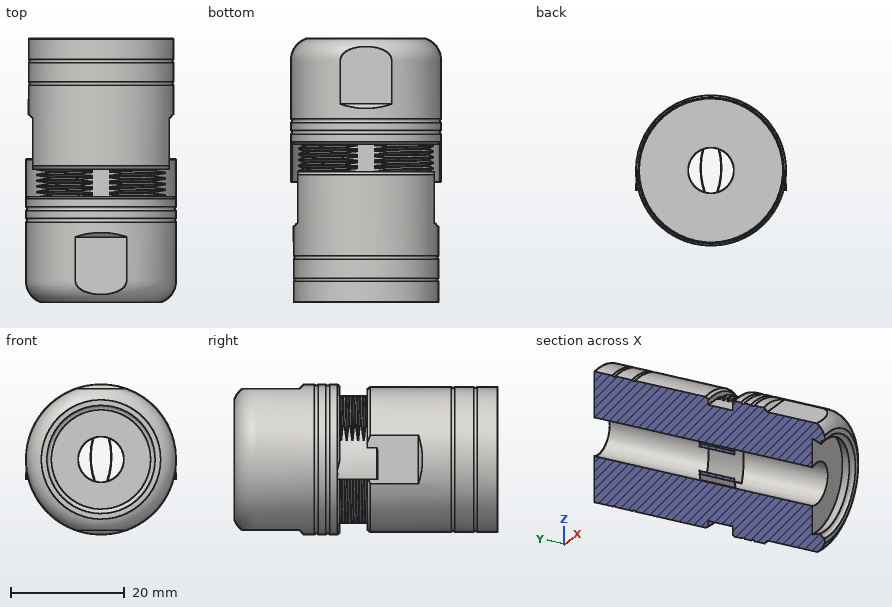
import cadquery as cq
import math

total_length = 46.5

cap_radius = 13.25
cap_length = 18.6
cap_edge_chamfer = 0.35
cap_groove_centers = (14.5, 16.5)
cap_groove_width = 0.7
cap_groove_depth = 0.2
nose_length = 3.8
rim_outer_radius = 10.5
rim_inner_radius = 9.55
mouth_radius = 8.75
recess_radius = 9.35
recess_depth = 2.5
bore_radius = 4.0

sleeve_radius = 12.8
sleeve_start = 23.45
sleeve_chamfer_length = 0.6
sleeve_chamfer_height = 0.4
sleeve_end_chamfer = 0.15
sleeve_groove_centers = (38.55, 42.5)
sleeve_groove_width = 0.6
sleeve_groove_depth = 0.2

cap_flat_height = 12.45
cap_flat_end = 11.55
sleeve_flat_height = 12.05
sleeve_flat_end = 32.45

thread_root_radius = 11.0
thread_crest_radius = 11.85
thread_pitch = 1.0
thread_base_width = 0.9
thread_crest_width = 0.15
thread_overlap = 0.7
land_width = 3.05
land_height = 11.25

tongue_start = cap_length - cap_edge_chamfer
tongue_end = 25.3
tongue_tip_z = -3.5
tongue_root_z = 6.5
tongue_bend_radius = 13.5
tongue_thickness = 0.3
tongue_end_chamfer = 0.2

leaf_points = ((1.0, -4.1), (1.8, 0.0), (1.3, 4.1))
leaf_thickness = 0.15


def revolve_about_y(profile):
    return profile.close().revolve(360, (0, 0, 0), (0, 1, 0))


def round_groove(surface_radius, center_y, width, depth):
    """Ring with a circular-arc bottom, for cutting into a cylinder."""
    return revolve_about_y(
        cq.Workplane("XY")
        .moveTo(surface_radius, center_y - width / 2)
        .threePointArc((surface_radius - depth, center_y), (surface_radius, center_y + width / 2))
        .lineTo(surface_radius + depth, center_y + width / 2)
        .lineTo(surface_radius + depth, center_y - width / 2)
    )


def make_cap():
    nose_inset = cap_radius - rim_outer_radius
    nose_radius = (nose_inset**2 + nose_length**2) / (2 * nose_inset)
    mouth_rounding = rim_inner_radius - mouth_radius
    cap = revolve_about_y(
        cq.Workplane("XY")
        .moveTo(0, recess_depth)
        .lineTo(recess_radius, recess_depth)
        .lineTo(mouth_radius, mouth_rounding)
        .radiusArc((rim_inner_radius, 0), mouth_rounding)
        .lineTo(rim_outer_radius, 0)
        .radiusArc((cap_radius, nose_length), -nose_radius)
        .lineTo(cap_radius, cap_length - cap_edge_chamfer)
        .lineTo(cap_radius - cap_edge_chamfer, cap_length)
        .lineTo(0, cap_length)
    )
    for center_y in cap_groove_centers:
        cap = cap.cut(round_groove(cap_radius, center_y, cap_groove_width, cap_groove_depth))
    return cap


def make_sleeve():
    sleeve = revolve_about_y(
        cq.Workplane("XY")
        .moveTo(0, sleeve_start)
        .lineTo(sleeve_radius - sleeve_chamfer_height, sleeve_start)
        .lineTo(sleeve_radius, sleeve_start + sleeve_chamfer_length)
        .lineTo(sleeve_radius, total_length - sleeve_end_chamfer)
        .lineTo(sleeve_radius - sleeve_end_chamfer, total_length)
        .lineTo(0, total_length)
    )
    for center_y in sleeve_groove_centers:
        sleeve = sleeve.cut(round_groove(sleeve_radius, center_y, sleeve_groove_width, sleeve_groove_depth))
    return sleeve


def flat_cutter(plane, start, end, flat_height, body_radius):
    """Block above a flat, its far end sloping outward at 45 degrees."""
    run_out = body_radius - flat_height
    return (
        cq.Workplane(plane)
        .polyline([
            (flat_height, start),
            (flat_height, end),
            (flat_height + 2 * run_out, end + 2 * run_out),
            (flat_height + 2 * run_out, start),
        ])
        .close()
        .extrude(body_radius, both=True)
    )


def make_neck():
    start = cap_length - thread_overlap
    length = sleeve_start - cap_length + 2 * thread_overlap
    core = cq.Workplane("XY").circle(thread_root_radius).extrude(length)
    helix = cq.Wire.makeHelix(thread_pitch, length, thread_root_radius)
    embed = 0.05
    ridge = (
        cq.Workplane("XZ")
        .polyline([
            (thread_root_radius - embed, -thread_base_width / 2),
            (thread_crest_radius, -thread_crest_width / 2),
            (thread_crest_radius, thread_crest_width / 2),
            (thread_root_radius - embed, thread_base_width / 2),
        ])
        .close()
        .sweep(cq.Workplane(helix), isFrenet=True)
    )
    thread = core.union(ridge).rotate((0, 0, 0), (1, 0, 0), -90).translate((0, start, 0))
    center_y = start + length / 2
    trim = cq.Workplane("XY").box(4 * cap_radius, 2 * length, 2 * land_height).translate((0, center_y, 0))
    land = cq.Workplane("XY").box(land_width, length, 2 * land_height).translate((0, center_y, 0))
    return thread.intersect(trim).union(land)


def tongue_point(offset, z):
    """Point on the tongue's bend at height z, offset inward from the outer face."""
    center_x = cap_radius - tongue_bend_radius
    radius = tongue_bend_radius - offset
    return (center_x + math.sqrt(radius**2 - (z - tongue_tip_z) ** 2), z)


def make_tongue():
    middle_z = (tongue_tip_z + tongue_root_z) / 2
    return (
        cq.Workplane("XZ", origin=(0, tongue_start, 0))
        .moveTo(*tongue_point(0, tongue_tip_z))
        .threePointArc(tongue_point(0, middle_z), tongue_point(0, tongue_root_z))
        .lineTo(*tongue_point(tongue_thickness, tongue_root_z))
        .threePointArc(
            tongue_point(tongue_thickness, middle_z),
            tongue_point(tongue_thickness, tongue_tip_z),
        )
        .close()
        .extrude(-(tongue_end - tongue_start))
        .faces(">Y").edges("%CIRCLE").edges(">X").chamfer(tongue_end_chamfer)
    )


def make_leaf():
    inner = [(x - leaf_thickness / 2, z) for x, z in leaf_points]
    outer = [(x + leaf_thickness / 2, z) for x, z in leaf_points]
    return (
        cq.Workplane("XZ", origin=(0, tongue_start, 0))
        .moveTo(*outer[0])
        .threePointArc(outer[1], outer[2])
        .lineTo(*inner[2])
        .threePointArc(inner[1], inner[0])
        .close()
        .extrude(-(tongue_end - tongue_start))
    )


def mirrored_pair(feature, mirror_plane):
    return feature.union(feature.mirror(mirror_plane))


cap_flat = flat_cutter("ZY", 0, cap_flat_end, cap_flat_height, cap_radius)
cap = make_cap().cut(mirrored_pair(cap_flat, "XY"))

sleeve_flat = flat_cutter("XY", sleeve_start, sleeve_flat_end, sleeve_flat_height, sleeve_radius)
sleeve = make_sleeve().cut(mirrored_pair(sleeve_flat, "YZ"))

shell = cap.union(sleeve).union(mirrored_pair(make_tongue(), "YZ"))
bore = cq.Workplane("XZ").circle(bore_radius).extrude(-total_length)
result = shell.union(make_neck()).cut(bore).union(mirrored_pair(make_leaf(), "YZ"))